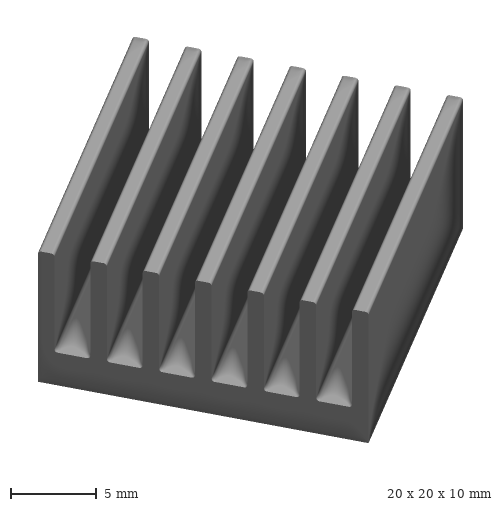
import cadquery as cq

width = 20.0
depth = 20.0
height = 10.0

base_thickness = 2.5
fin_count = 7
fin_thickness = 1.0
tip_radius = 0.2
root_radius = 0.2

fin_pitch = (width - fin_thickness) / (fin_count - 1)
channel_width = fin_pitch - fin_thickness
fin_height = height - base_thickness


def make_channel(index):
    """Channel to the right of a fin, with rounded floor corners."""
    center = (index + 0.5) * fin_pitch - (width - fin_thickness) / 2
    return (
        cq.Workplane("XY", origin=(center, 0, base_thickness))
        .box(channel_width, depth, fin_height, centered=(True, True, False))
        .edges("|Y and <Z")
        .fillet(root_radius)
    )


result = cq.Workplane("XY").box(width, depth, height, centered=(True, True, False))

for gap in range(fin_count - 1):
    result = result.cut(make_channel(gap))

result = result.faces(">Z").edges("|Y").fillet(tip_radius)